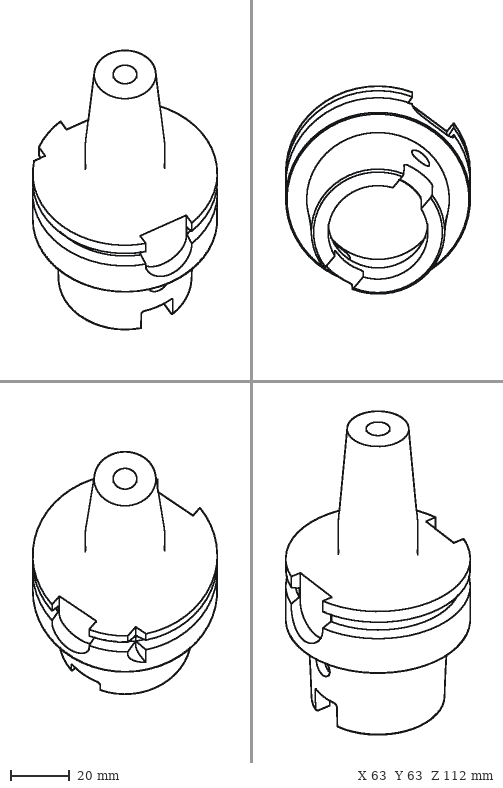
import cadquery as cq

total_height = 112.0
flange_bottom = 32.0
flange_top = 58.0
cone_start = 74.0

shank_top_radius = 24.3
shank_middle_radius = 23.2
shank_bottom_radius = 22.7
shank_middle_height = 14.6
shank_chamfer_height = 0.8
shank_chamfer_width = 0.8
mouth_radius = 17.0
mouth_depth = 10.9
chamber_radius = 20.4
chamber_top = 28.0
cross_hole_radius = 3.8
cross_hole_height = 23.1

flange_radius = 31.5
flange_chamfer = 0.5
groove_radius = 28.2
groove_outer_bottom = 46.7
groove_inner_bottom = 48.0
groove_inner_top = 51.7
groove_outer_top = 53.5

neck_radius = 13.5
neck_fillet = 2.0
tip_radius = 10.5
tool_bore_radius = 4.0
tool_bore_depth = 35.8

notch_floor = 37.1
notch_wall_distance = 26.3
left_notch_width = 15.9
right_notch_width = 18.0
corner_notch_wall_x = 19.9
corner_notch_wall_y = 19.9

drive_slot_width = 12.3
drive_slot_corner = 1.2
left_slot_depth = 6.0
right_slot_depth = 10.1

side_reach = 2 * flange_radius


def make_body():
    """Revolve the outer profile of the shank, flange and nose."""
    profile = (
        cq.Workplane("XZ")
        .lineTo(shank_bottom_radius - shank_chamfer_width, 0)
        .lineTo(shank_bottom_radius, shank_chamfer_height)
        .threePointArc((shank_middle_radius, shank_middle_height), (shank_top_radius, flange_bottom))
        .lineTo(flange_radius - flange_chamfer, flange_bottom)
        .lineTo(flange_radius, flange_bottom + flange_chamfer)
        .lineTo(flange_radius, groove_outer_bottom)
        .lineTo(groove_radius, groove_inner_bottom)
        .lineTo(groove_radius, groove_inner_top)
        .lineTo(flange_radius, groove_outer_top)
        .lineTo(flange_radius, flange_top)
        .lineTo(neck_radius + neck_fillet, flange_top)
        .radiusArc((neck_radius, flange_top + neck_fillet), neck_fillet)
        .lineTo(neck_radius, cone_start)
        .lineTo(tip_radius, total_height)
        .lineTo(0, total_height)
        .close()
    )
    return profile.revolve(360, (0, 0), (0, 1))


def make_cavity():
    """Clamping cavity: a mouth that widens into a chamber."""
    mouth = cq.Workplane("XY").circle(mouth_radius).extrude(chamber_top)
    chamber = (
        cq.Workplane("XY", origin=(0, 0, mouth_depth))
        .circle(chamber_radius)
        .extrude(chamber_top - mouth_depth)
    )
    return mouth.union(chamber)


def make_tool_bore():
    """Blind bore for the tool, entering from the tip."""
    return cq.Workplane("XY", origin=(0, 0, total_height)).circle(tool_bore_radius).extrude(-tool_bore_depth)


def make_cross_hole():
    """Hole along X through both walls of the shank."""
    return (
        cq.Workplane("YZ", origin=(0, 0, cross_hole_height))
        .circle(cross_hole_radius)
        .extrude(side_reach, both=True)
    )


def make_rim_notch(side, width, wall_distance, center_y=0):
    """Notch open at the flange top; side is -1 or +1 along X, and its floor is a half cylinder."""
    radius = width / 2
    arc_center = notch_floor + radius
    return (
        cq.Workplane("YZ", origin=(side * wall_distance, 0, 0))
        .moveTo(center_y - radius, flange_top)
        .lineTo(center_y - radius, arc_center)
        .threePointArc((center_y, notch_floor), (center_y + radius, arc_center))
        .lineTo(center_y + radius, flange_top)
        .close()
        .extrude(side * side_reach)
    )


def make_drive_slot(side, depth):
    """Slot through one shank wall, with its two closed corners rounded."""
    return (
        cq.Workplane("XY")
        .box(side_reach, drive_slot_width, depth, centered=(True, True, False))
        .edges("|X and >Z")
        .fillet(drive_slot_corner)
        .translate((side * side_reach / 2, 0, 0))
    )


result = make_body().cut(make_cavity()).cut(make_tool_bore()).cut(make_cross_hole())

result = result.cut(make_rim_notch(-1, left_notch_width, notch_wall_distance))
result = result.cut(make_rim_notch(1, right_notch_width, notch_wall_distance))
corner_notch_center = -corner_notch_wall_y - left_notch_width / 2
result = result.cut(make_rim_notch(-1, left_notch_width, corner_notch_wall_x, corner_notch_center))

for slot_side, slot_depth in ((-1, left_slot_depth), (1, right_slot_depth)):
    result = result.cut(make_drive_slot(slot_side, slot_depth))